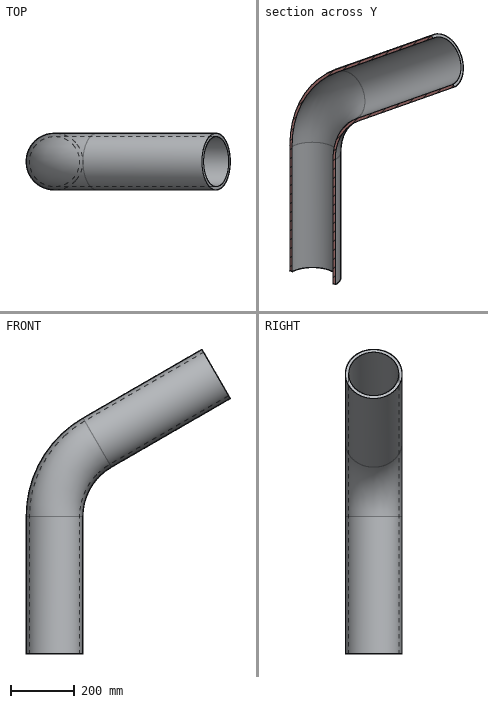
import cadquery as cq
import math

OUTER_DIAMETER = 180.0
BORE_DIAMETER = 158.6
BEND_RADIUS = 1.5 * OUTER_DIAMETER
BEND_ANGLE = 60.0
LEG_LENGTH = 434.54


def bend_point(angle):
    """Centreline point (X, Z) of the elbow after turning by angle degrees."""
    turn = math.radians(angle)
    return (
        BEND_RADIUS * (1 - math.cos(turn)),
        LEG_LENGTH + BEND_RADIUS * math.sin(turn),
    )


def make_centreline():
    """Vertical leg, elbow arc and inclined leg in the XZ plane."""
    bend_end = bend_point(BEND_ANGLE)
    turn = math.radians(BEND_ANGLE)
    leg_end = (
        bend_end[0] + LEG_LENGTH * math.sin(turn),
        bend_end[1] + LEG_LENGTH * math.cos(turn),
    )
    return (
        cq.Workplane("XZ")
        .lineTo(0, LEG_LENGTH)
        .threePointArc(bend_point(BEND_ANGLE / 2), bend_end)
        .lineTo(*leg_end)
    )


def make_pipe():
    """Annular section swept along the centreline, open at both ends."""
    return (
        cq.Workplane("XY")
        .circle(OUTER_DIAMETER / 2)
        .circle(BORE_DIAMETER / 2)
        .sweep(make_centreline())
    )


result = make_pipe()